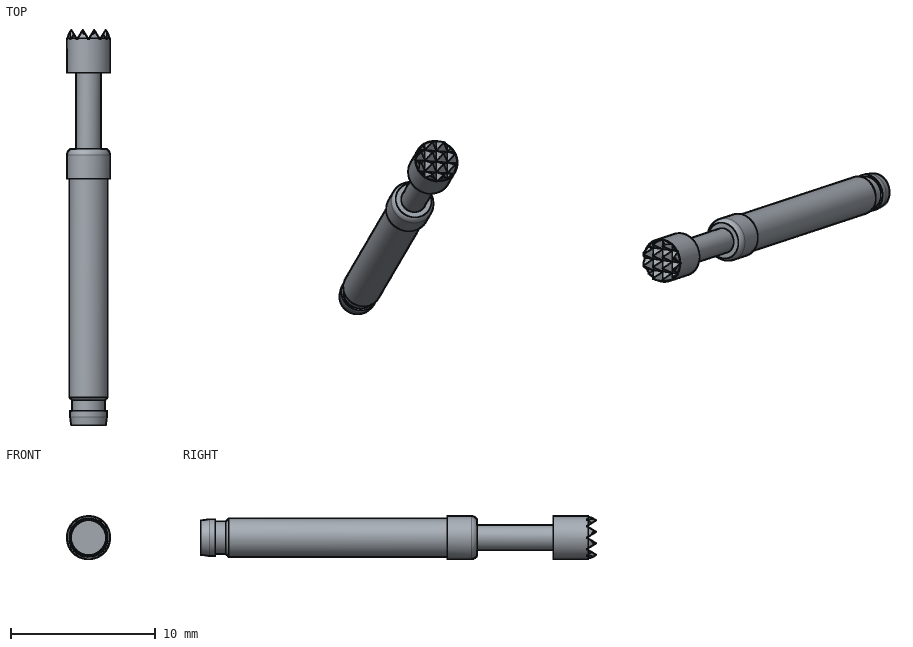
import cadquery as cq

length = 27.3

tail_radius = 1.28
tail_end_radius = 1.2
tail_taper_length = 0.6
tail_length = 1.0

neck_radius = 1.15
neck_end = 1.75

barrel_radius = 1.35
barrel_chamfer = barrel_radius - neck_radius
collar_radius = 1.5
collar_start = 17.0
collar_end = 19.08
collar_round_length = 0.4
collar_face_radius = 1.25
collar_round_radius = 0.55

plunger_radius = 0.87
head_radius = collar_radius
head_start = 24.32
crown_height = 0.57
crown_start = length - crown_height
crown_base_radius = 1.45
crown_tip_radius = 1.35

tooth_pitch = 0.8
groove_depth = 0.65
groove_offsets = [step * tooth_pitch for step in (-2, -1, 0, 1, 2)]
groove_length = 4 * head_radius


def turned_body():
    """Solid of revolution about Y; the profile runs from the tail to the crown."""
    return (
        cq.Workplane("XY")
        .moveTo(0, 0)
        .lineTo(tail_end_radius, 0)
        .lineTo(tail_radius, tail_taper_length)
        .lineTo(tail_radius, tail_length)
        .lineTo(neck_radius, tail_length)
        .lineTo(neck_radius, neck_end)
        .lineTo(barrel_radius, neck_end + barrel_chamfer)
        .lineTo(barrel_radius, collar_start)
        .lineTo(collar_radius, collar_start)
        .lineTo(collar_radius, collar_end - collar_round_length)
        .radiusArc((collar_face_radius, collar_end), -collar_round_radius)
        .lineTo(plunger_radius, collar_end)
        .lineTo(plunger_radius, head_start)
        .lineTo(head_radius, head_start)
        .lineTo(head_radius, crown_start)
        .lineTo(crown_base_radius, crown_start)
        .lineTo(crown_tip_radius, length)
        .lineTo(0, length)
        .close()
        .revolve(360, (0, 0, 0), (0, 1, 0))
    )


def v_groove(offset):
    """V groove along Z, centred at X = offset; neighbouring grooves meet in sharp ridges."""
    half_width = tooth_pitch / 2
    return (
        cq.Workplane("XY")
        .polyline([
            (offset - half_width, length),
            (offset, length - groove_depth),
            (offset + half_width, length),
        ])
        .close()
        .extrude(groove_length / 2, both=True)
    )


result = turned_body()
for groove_offset in groove_offsets:
    groove = v_groove(groove_offset)
    result = result.cut(groove)
    result = result.cut(groove.rotate((0, 0, 0), (0, 1, 0), 90))